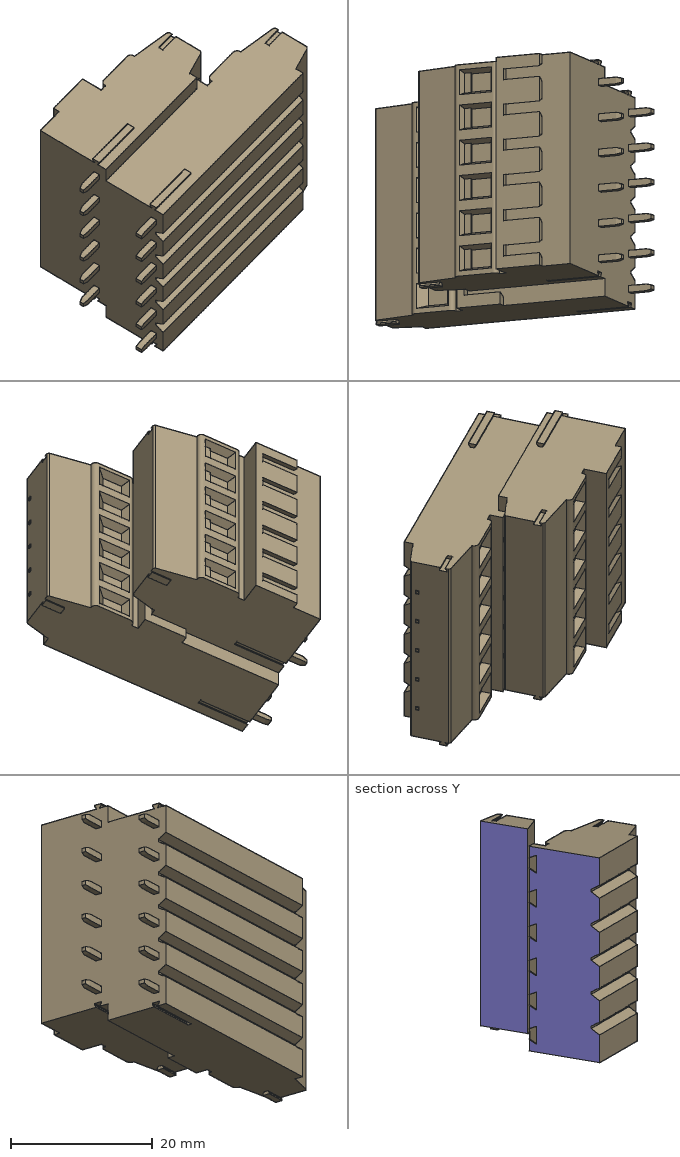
import cadquery as cq

POLES = 6
PITCH = 5.08
BLOCK_HEIGHT = POLES * PITCH
POLE_Z = [(i + 0.5) * PITCH for i in range(POLES)]
DIVIDER_Z = [i * PITCH for i in range(1, POLES)]

STEP_X = 2 * PITCH
STEP_Y = 11.4
STEP_Z = -PITCH / 2

FOOT_X = 0
BASE_X = 0.95
MOUTH_X = 2.5
SHOULDER_X = 3.3
CROWN_LEFT_X = 4.35
CROWN_RIGHT_X = 10.4
HEEL_X = 11.35
BACK_X = MOUTH_X + STEP_X
REAR_FOOT_X = 11.53

FOOT_BOTTOM_Y = 4.35
FOOT_TOP_Y = 11.1
MOUTH_BOTTOM_Y = 12.1
MOUTH_TOP_Y = 18.8
HEEL_Y = 21.08
CROWN_Y = 25.23
FRONT_LIP = 0.65
REAR_LIP = 0.75
CROWN_CHAMFER = 0.25

ENTRY_BOTTOM_Y = 12.95
ENTRY_TOP_Y = 17.9
ENTRY_WIDTH = 3.6
FLOOR_BOTTOM_Y = 13.6
FRONT_FLOOR_TOP_Y = 17.45
REAR_FLOOR_TOP_Y = 16.6
LEDGE_BOTTOM_Y = 16.52
LEDGE_HEIGHT = 0.3
FLOOR_WIDTH = 2.6
ENTRY_DEPTH = 1.2

FOOT_SLOT_TOP_Y = 9.95
FOOT_SLOT_MOUTH = 1.55
FOOT_SLOT_FLOOR = 2.58

NOTCH_MOUTH = 1.85
NOTCH_FLOOR = 0.32
NOTCH_DEPTH = 1.35

BASE_RAIL_X = 10.9
BASE_RAIL_LENGTH = 8.05
BASE_RAIL_WIDTH = 1.15
BASE_RAIL_NECK = 0.55
BASE_RAIL_HEIGHT = 0.65
CROWN_RAIL_X = 5.45
CROWN_RAIL_LENGTH = 3.05
CROWN_RAIL_WIDTH = 1.13
CROWN_RAIL_NECK = 0.65
CROWN_RAIL_HEIGHT = 0.52
RAIL_LIP = 0.2

PIN_X = 11.0
PIN_SIZE = 0.95
PIN_LENGTH = 3.5
PIN_TIP_LENGTH = 0.75
PIN_TIP_SIZE = 0.6
PIN_ROOT = 0.8

NUB_WIDTH = 0.5
CROWN_NUB_X = 19.42
CROWN_NUB_HEIGHT = 0.15
SLOPE_NUB_X = 10.85
SLOPE_NUB_TOP_Y = 24.3
SLOPE_NUB_LENGTH = 1.1
SLOPE_NUB_DEPTH = 0.55


def upper_outline(sketch, dx, dy, lip_radius):
    """Continue an outline from the foot top, round the wire-entry lip and crown, to the heel."""
    lip_low = MOUTH_BOTTOM_Y + lip_radius
    lip_high = MOUTH_TOP_Y - lip_radius
    lip_end = MOUTH_X + lip_radius
    return (
        sketch
        .lineTo(SHOULDER_X + dx, FOOT_TOP_Y + dy)
        .lineTo(SHOULDER_X + dx, MOUTH_BOTTOM_Y + dy)
        .lineTo(lip_end + dx, MOUTH_BOTTOM_Y + dy)
        .radiusArc((MOUTH_X + dx, lip_low + dy), lip_radius)
        .lineTo(MOUTH_X + dx, lip_high + dy)
        .radiusArc((lip_end + dx, MOUTH_TOP_Y + dy), lip_radius)
        .lineTo(SHOULDER_X + dx, MOUTH_TOP_Y + dy)
        .lineTo(CROWN_LEFT_X + dx, CROWN_Y - CROWN_CHAMFER + dy)
        .lineTo(CROWN_LEFT_X + CROWN_CHAMFER + dx, CROWN_Y + dy)
        .lineTo(CROWN_RIGHT_X - CROWN_CHAMFER + dx, CROWN_Y + dy)
        .lineTo(CROWN_RIGHT_X + dx, CROWN_Y - CROWN_CHAMFER + dy)
        .lineTo(HEEL_X + dx, HEEL_Y + dy)
        .lineTo(BACK_X + dx, HEEL_Y + dy)
    )


def block(base_x, foot_x, dx, dy, dz, lip_radius):
    """One terminal block: its XY outline extruded along Z."""
    start = (
        cq.Workplane("XY", origin=(0, 0, dz))
        .moveTo(BACK_X + dx, 0)
        .lineTo(base_x, 0)
        .lineTo(base_x, FOOT_BOTTOM_Y + dy)
        .lineTo(foot_x, FOOT_BOTTOM_Y + dy)
        .lineTo(foot_x, FOOT_TOP_Y + dy)
    )
    return upper_outline(start, dx, dy, lip_radius).close().extrude(BLOCK_HEIGHT)


def prism_along_y(points, y_start, length):
    """Extrude an XZ outline towards +Y."""
    return cq.Workplane("XZ", origin=(0, y_start, 0)).polyline(points).close().extrude(-length)


def foot_slot(foot_x, base_x, dy, z):
    """Dovetail slot through the foot, open at the foot's lower end."""
    points = [
        (foot_x, z - FOOT_SLOT_MOUTH / 2),
        (base_x, z - FOOT_SLOT_FLOOR / 2),
        (base_x, z + FOOT_SLOT_FLOOR / 2),
        (foot_x, z + FOOT_SLOT_MOUTH / 2),
    ]
    return prism_along_y(points, FOOT_BOTTOM_Y + dy, FOOT_SLOT_TOP_Y - FOOT_BOTTOM_Y)


def wire_entry(dx, dy, z, floor_top_y):
    """Funnel sunk into the wire-entry wall."""
    mouth_y = (ENTRY_BOTTOM_Y + ENTRY_TOP_Y) / 2
    floor_y = (FLOOR_BOTTOM_Y + floor_top_y) / 2
    return (
        cq.Workplane("YZ", origin=(MOUTH_X + dx, dy, z))
        .center(mouth_y, 0)
        .rect(ENTRY_TOP_Y - ENTRY_BOTTOM_Y, ENTRY_WIDTH)
        .workplane(offset=ENTRY_DEPTH)
        .center(floor_y - mouth_y, 0)
        .rect(floor_top_y - FLOOR_BOTTOM_Y, FLOOR_WIDTH)
        .loft(ruled=True)
    )


def entry_ledge(z):
    """Low step on the floor of a front wire entry, against its upper wall."""
    return cq.Workplane("XY").box(
        ENTRY_DEPTH, ENTRY_TOP_Y - LEDGE_BOTTOM_Y, ENTRY_WIDTH, centered=(False, False, True)
    ).translate((MOUTH_X + ENTRY_DEPTH - LEDGE_HEIGHT, LEDGE_BOTTOM_Y, z))


def dovetail(x, z, neck, width, height, y_start, length):
    """Dovetail bar with its neck at height z; a negative height points it down."""
    edge = z + height
    shoulder = edge - RAIL_LIP if height > 0 else edge + RAIL_LIP
    points = [
        (x - neck / 2, z),
        (x - width / 2, shoulder),
        (x - width / 2, edge),
        (x + width / 2, edge),
        (x + width / 2, shoulder),
        (x + neck / 2, z),
    ]
    return prism_along_y(points, y_start, length)


def base_dovetail(dx, z):
    """Dovetail beside the pins: a rail on top of a block, a groove in its underside."""
    return dovetail(BASE_RAIL_X + dx, z, BASE_RAIL_NECK, BASE_RAIL_WIDTH, BASE_RAIL_HEIGHT,
                    0, BASE_RAIL_LENGTH)


def crown_dovetail(dx, dy, z):
    """Dovetail at the crown: a rail under a block, a groove in its top."""
    return dovetail(CROWN_RAIL_X + dx, z, CROWN_RAIL_NECK, CROWN_RAIL_WIDTH, -CROWN_RAIL_HEIGHT,
                    CROWN_Y - CROWN_RAIL_LENGTH + dy, CROWN_RAIL_LENGTH)


def notch(z):
    """V notch along the whole +X wall."""
    wall_x = BACK_X + STEP_X
    points = [
        (wall_x, z - NOTCH_MOUTH / 2),
        (wall_x - NOTCH_DEPTH, z - NOTCH_FLOOR / 2),
        (wall_x - NOTCH_DEPTH, z + NOTCH_FLOOR / 2),
        (wall_x, z + NOTCH_MOUTH / 2),
    ]
    return prism_along_y(points, 0, CROWN_Y + STEP_Y)


def pin(x, z, tip_width):
    """Square pin pointing to -Y with a tapered tip."""
    shaft_end = PIN_LENGTH - PIN_TIP_LENGTH
    shaft = (
        cq.Workplane("XZ", origin=(x, PIN_ROOT, z))
        .rect(PIN_SIZE, PIN_SIZE)
        .extrude(PIN_ROOT + shaft_end)
    )
    tip = (
        cq.Workplane("XZ", origin=(x, -shaft_end, z))
        .rect(PIN_SIZE, PIN_SIZE)
        .workplane(offset=PIN_TIP_LENGTH)
        .rect(tip_width, PIN_TIP_SIZE)
        .loft(ruled=True)
    )
    return shaft.union(tip)


def crown_nub(z):
    """Nub on the rear crown, half sunk into it."""
    return cq.Workplane("XY").box(NUB_WIDTH, 2 * CROWN_NUB_HEIGHT, NUB_WIDTH).translate(
        (CROWN_NUB_X, CROWN_Y + STEP_Y, z)
    )


def slope_nub(z):
    """Nub on the slope behind the front crown."""
    return cq.Workplane("XY").box(SLOPE_NUB_DEPTH, SLOPE_NUB_LENGTH, NUB_WIDTH).translate(
        (SLOPE_NUB_X - SLOPE_NUB_DEPTH / 2, SLOPE_NUB_TOP_Y - SLOPE_NUB_LENGTH / 2, z)
    )


def terminal_row(base_x, foot_x, dx, dy, dz, lip_radius, floor_top_y, pin_tip_width):
    """One complete block with its wire entries, foot slots, rails and pins."""
    row = block(base_x, foot_x, dx, dy, dz, lip_radius)
    bottom = dz
    top = dz + BLOCK_HEIGHT
    for pole_z in POLE_Z:
        z = pole_z + dz
        row = row.cut(wire_entry(dx, dy, z, floor_top_y))
        row = row.cut(foot_slot(foot_x, base_x, dy, z))
        row = row.union(pin(PIN_X + dx, z, pin_tip_width))
    row = row.cut(base_dovetail(dx, bottom))
    row = row.cut(crown_dovetail(dx, dy, top))
    row = row.union(base_dovetail(dx, top))
    return row.union(crown_dovetail(dx, dy, bottom))


front_row = terminal_row(
    BASE_X, FOOT_X, 0, 0, 0, FRONT_LIP, FRONT_FLOOR_TOP_Y, PIN_TIP_SIZE
)
for pole_z in POLE_Z:
    front_row = front_row.union(entry_ledge(pole_z))
for divider_z in DIVIDER_Z:
    front_row = front_row.union(slope_nub(divider_z))

rear_row = terminal_row(
    BACK_X, REAR_FOOT_X, STEP_X, STEP_Y, STEP_Z, REAR_LIP, REAR_FLOOR_TOP_Y, PIN_SIZE
)
for divider_z in DIVIDER_Z:
    rear_row = rear_row.cut(notch(divider_z + STEP_Z))
    rear_row = rear_row.union(crown_nub(divider_z + STEP_Z))

result = front_row.union(rear_row)